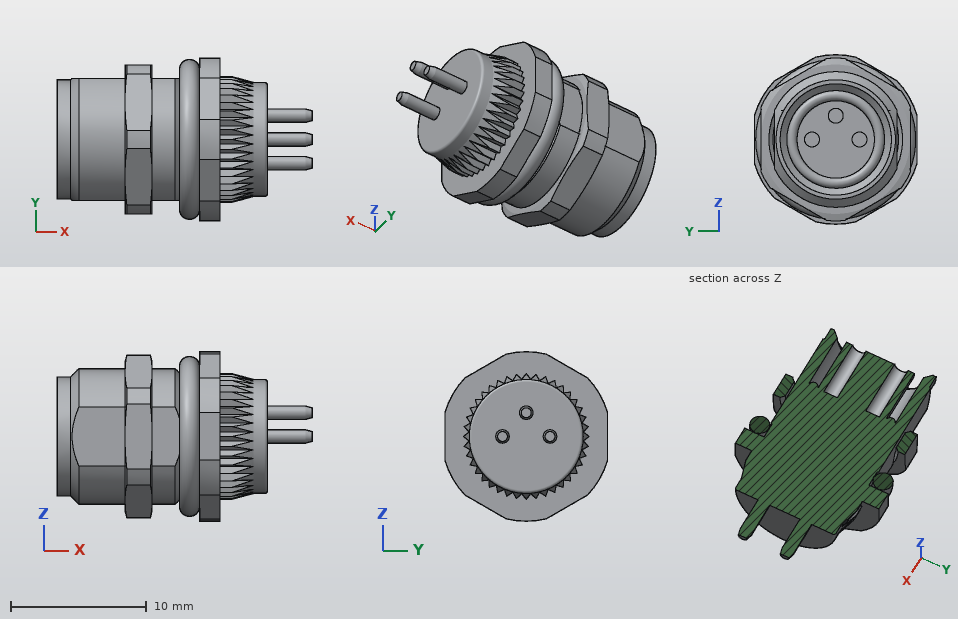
import cadquery as cq
import math


nose_length = 1.0
groove_start = 9.3
flange_start = 10.5
flange_end = 12.0
knurl_taper_end = 14.5
housing_end = 15.5
pin_end = 18.8

nose_radius = 8.8 / 2
barrel_radius = 10.0 / 2
barrel_width = 9.0
groove_radius = 8.8 / 2
seal_section_radius = 1.5 / 2

flange_across_flats = 12.0
flange_corner_radius = 12.5 / 2

tooth_count = 40
tooth_tip_radius = 4.63
tooth_root_radius = 4.22
knurl_taper_angle = 15.0
collar_radius = 8.4 / 2
collar_edge = 0.2

socket_radius = 7.2 / 2
socket_chamfer = 0.5
socket_floor = 5.0
insert_radius = 5.7 / 2
insert_face = 0.5

contact_circle_radius = 1.75
contact_angles = [0, 90, 180]
contact_hole_radius = 1.1 / 2
pin_radius = 1.0 / 2
pin_tip_length = 0.5
pin_tip_angle = 15.0

nut_start = 5.0
nut_end = 7.0
nut_across_flats = 11.0
nut_corner_radius = 12.0 / 2
nut_chamfer_angle = 15.0
nut_bore_radius = 9.25 / 2
nut_bore_chamfer = 0.3


def rise(run, angle):
    """Offset gained over a run along a line sloped by the angle in degrees."""
    return run * math.tan(math.radians(angle))


def disc(radius, start, end):
    """Cylinder on the X axis between two stations."""
    return cq.Workplane("YZ").workplane(offset=start).circle(radius).extrude(end - start)


def turned(points):
    """Solid of revolution about the X axis from an (x, radius) outline."""
    return cq.Workplane("XY").polyline(points).close().revolve(360, (0, 0), (1, 0))


def hexagon(across_flats, start, end):
    """Hexagonal prism along X with two flats facing +Y and -Y."""
    across_corners = across_flats / math.cos(math.pi / 6)
    plane = cq.Workplane("YZ").workplane(offset=start)
    return plane.transformed(rotate=(0, 0, 90)).polygon(6, across_corners).extrude(end - start)


def at_contacts(start):
    """Workplane at a station, with one point on each contact axis."""
    points = []
    for angle in contact_angles:
        y = contact_circle_radius * math.cos(math.radians(angle))
        z = contact_circle_radius * math.sin(math.radians(angle))
        points.append((y, z))
    return cq.Workplane("YZ").workplane(offset=start).pushPoints(points)


def make_barrel():
    """Nose, barrel with two flats and 45 degree bevels, and the sealing ring groove."""
    barrel = turned([
        (0, 0),
        (0, nose_radius),
        (nose_length, nose_radius),
        (nose_length + barrel_radius - nose_radius, barrel_radius),
        (groove_start - barrel_radius + groove_radius, barrel_radius),
        (groove_start, groove_radius),
        (flange_start, groove_radius),
        (flange_start, 0),
    ])
    flats = cq.Workplane("XY").box(2 * flange_start, barrel_width, 4 * barrel_radius)
    return barrel.intersect(flats)


def make_flange():
    corners = disc(flange_corner_radius, flange_start, flange_end)
    return hexagon(flange_across_flats, flange_start, flange_end).intersect(corners)


def make_knurl():
    """Sharp straight teeth whose tips taper down to the collar."""
    half_pitch = math.pi / tooth_count
    outline = []
    for step in range(2 * tooth_count):
        radius = tooth_tip_radius if step % 2 == 0 else tooth_root_radius
        outline.append((radius * math.cos(step * half_pitch), radius * math.sin(step * half_pitch)))
    length = knurl_taper_end - flange_end
    teeth = cq.Workplane("YZ").workplane(offset=flange_end).polyline(outline).close().extrude(length)
    envelope = turned([
        (flange_end, 0),
        (flange_end, collar_radius + rise(length, knurl_taper_angle)),
        (knurl_taper_end, collar_radius),
        (knurl_taper_end, 0),
    ])
    return teeth.intersect(envelope)


def make_collar():
    return disc(collar_radius, knurl_taper_end, housing_end).faces(">X").edges().fillet(collar_edge)


def make_socket():
    """Volume removed from the nose: entry chamfer and the recess around the insert."""
    entry = turned([
        (0, 0),
        (0, socket_radius + socket_chamfer),
        (socket_chamfer, socket_radius),
        (socket_floor, socket_radius),
        (socket_floor, 0),
    ])
    return entry.cut(disc(insert_radius, insert_face, socket_floor))


def ring(mean_radius, section_radius, center):
    """Torus around the X axis."""
    section = cq.Workplane("XY").center(center, mean_radius).circle(section_radius)
    return section.revolve(360, (0, -mean_radius), (1, -mean_radius))


def make_socket_bead():
    return ring((socket_radius + insert_radius) / 2, (socket_radius - insert_radius) / 2, socket_floor)


def make_pins():
    tip_inset = rise(pin_tip_length, pin_tip_angle)
    pins = at_contacts(housing_end).circle(pin_radius).extrude(pin_end - housing_end)
    return pins.faces(">X").edges().chamfer(pin_tip_length, tip_inset)


def make_housing():
    housing = make_barrel().union(make_flange()).union(make_knurl()).union(make_collar())
    housing = housing.cut(make_socket()).union(make_socket_bead())
    contact_holes = at_contacts(insert_face).circle(contact_hole_radius).extrude(socket_floor - insert_face)
    return housing.cut(contact_holes).union(make_pins())


def make_nut(barrel):
    """Hexagon nut with chamfered faces and bore, seated on the barrel.

    The bore is smaller than the barrel, so it shows only beside the barrel flats;
    around the rest the nut is relieved to fit the barrel.
    """
    face_radius = nut_across_flats / 2
    chamfer_depth = rise(nut_corner_radius - face_radius, nut_chamfer_angle)
    bore_entry_radius = nut_bore_radius + nut_bore_chamfer
    envelope = turned([
        (nut_start, bore_entry_radius),
        (nut_start, face_radius),
        (nut_start + chamfer_depth, nut_corner_radius),
        (nut_end - chamfer_depth, nut_corner_radius),
        (nut_end, face_radius),
        (nut_end, bore_entry_radius),
        (nut_end - nut_bore_chamfer, nut_bore_radius),
        (nut_start + nut_bore_chamfer, nut_bore_radius),
    ])
    return hexagon(nut_across_flats, nut_start, nut_end).intersect(envelope).cut(barrel)


def make_sealing_ring():
    """O-ring lying in the groove against the flange."""
    mean_radius = groove_radius + seal_section_radius
    return ring(mean_radius, seal_section_radius, flange_start - seal_section_radius)


housing = make_housing()
nut = make_nut(make_barrel())
sealing_ring = make_sealing_ring()

result = cq.Compound.makeCompound([housing.solids().val(), nut.solids().val(), sealing_ring.val()])